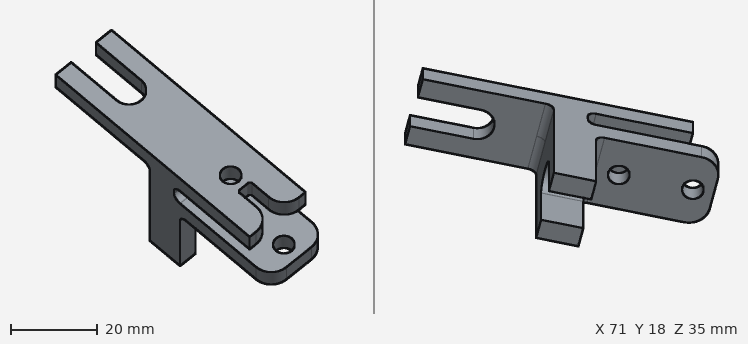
import cadquery as cq

length = 71.0
width = 18.0
height = 35.0

plate_thickness = 5.0
plate_gap = 5.0
post_left = 31.0
post_thickness = 10.0
post_right = post_left + post_thickness
upper_plate_end = 64.0
lower_plate_top = -plate_thickness - plate_gap
lower_plate_bottom = lower_plate_top - plate_thickness
root_radius = 2.0
lower_corner_radius = 5.0

hole_diameter = 5.0
inner_hole_x = 48.5
outer_hole_x = length - lower_corner_radius

open_slot_width = 7.95
arm_slot_depth = 18.95
foot_slot_depth = 15.9

fork_slot_width = 4.0
fork_slot_floor = 52.9
fork_slot_depth = upper_plate_end - fork_slot_floor
fork_floor_radius = 0.65
fork_tip_radius = 5.0


def block(x_min, x_max, z_min, z_max):
    """Full-width box, centred on y = 0."""
    return cq.Workplane("XY").box(
        x_max - x_min, width, z_max - z_min, centered=(False, True, False)
    ).translate((x_min, 0, z_min))


def open_slot(depth):
    """Vertical cutter entering along +X from x = 0, with a semicircular end."""
    radius = open_slot_width / 2
    return (
        cq.Workplane("XY")
        .moveTo(0, -radius)
        .lineTo(depth - radius, -radius)
        .threePointArc((depth, 0), (depth - radius, radius))
        .lineTo(0, radius)
        .close()
        .extrude(height, both=True)
    )


def make_upper_plate():
    """Left arm and right fork in one plate."""
    plate = block(0, upper_plate_end, -plate_thickness, 0)
    fork_slot = (
        cq.Workplane("XY")
        .box(fork_slot_depth, fork_slot_width, plate_thickness, centered=(False, True, False))
        .translate((fork_slot_floor, 0, -plate_thickness))
        .edges("|Z and <X")
        .fillet(fork_floor_radius)
    )
    plate = plate.cut(fork_slot).cut(open_slot(arm_slot_depth))
    half_slot = fork_slot_width / 2
    tip_margin = 0.1
    inner_tips = cq.selectors.BoxSelector(
        (upper_plate_end - tip_margin, -half_slot - tip_margin, -plate_thickness),
        (upper_plate_end + tip_margin, half_slot + tip_margin, 0),
    )
    return plate.edges("|Z").edges(inner_tips).fillet(fork_tip_radius)


def make_lower_plate():
    plate = block(post_right, length, lower_plate_bottom, lower_plate_top)
    return plate.edges("|Z and >X").fillet(lower_corner_radius)


def make_post():
    """Upright post with a slotted foot and a rounded recess between the plates."""
    post = block(post_left, post_right, -height, 0)
    foot_slot = (
        open_slot(foot_slot_depth)
        .rotate((0, 0, 0), (0, 1, 0), -90)
        .translate((post_left, 0, -height))
    )
    recess = (
        block(post_right - root_radius, post_right + root_radius, lower_plate_top, -plate_thickness)
        .edges("|Y and <X")
        .fillet(root_radius)
    )
    return post.cut(foot_slot).cut(recess)


def root_fillet(x, z, direction):
    """Concave web below a plate, against the post face at x; direction is +1 or -1 along X."""
    web_end = x + direction * root_radius
    corner = block(min(x, web_end), max(x, web_end), z - root_radius, z)
    relief = (
        cq.Workplane("XZ")
        .center(web_end, z - root_radius)
        .circle(root_radius)
        .extrude(width, both=True)
    )
    return corner.cut(relief)


result = (
    make_upper_plate()
    .union(make_post())
    .union(make_lower_plate())
    .union(root_fillet(post_left, -plate_thickness, -1))
    .union(root_fillet(post_right, lower_plate_bottom, 1))
)

for hole_x in (inner_hole_x, outer_hole_x):
    hole = cq.Workplane("XY").center(hole_x, 0).circle(hole_diameter / 2).extrude(-height)
    result = result.cut(hole)